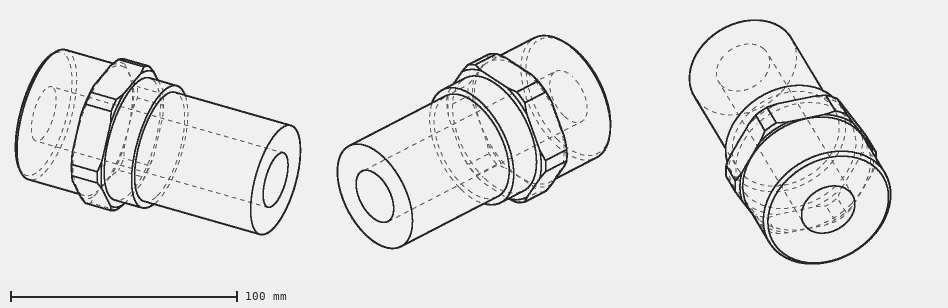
import cadquery as cq

total_length = 114.0
hex_start = 29.0
hex_end = 43.5
shoulder_end = 57.0

thread_diameter = 59.6
shoulder_diameter = 56.1
tube_diameter = 50.0
bore_diameter = 25.0
across_flats = 60.0
hex_corner_diameter = 66.0

thread_chamfer = 1.6
hex_chamfer_length = 1.0
hex_chamfer_depth = 1.8


def cylinder(diameter, start, end):
    """Solid cylinder around the X axis between two stations."""
    return cq.Workplane("YZ", origin=(start, 0, 0)).circle(diameter / 2).extrude(end - start)


def hex_collar():
    """Hexagon with flats facing +Z and -Z, cut from a chamfered round blank."""
    corner_radius = hex_corner_diameter / 2
    face_radius = corner_radius - hex_chamfer_depth
    collar = (
        cq.Workplane("XY")
        .moveTo(hex_start, 0)
        .lineTo(hex_start, face_radius)
        .lineTo(hex_start + hex_chamfer_length, corner_radius)
        .lineTo(hex_end - hex_chamfer_length, corner_radius)
        .lineTo(hex_end, face_radius)
        .lineTo(hex_end, 0)
        .close()
        .revolve(360, (0, 0, 0), (1, 0, 0))
    )
    for angle in (0, 60, 120):
        flat_pair = (
            cq.Workplane("XY")
            .box(hex_end - hex_start, 2 * across_flats, across_flats)
            .translate(((hex_start + hex_end) / 2, 0, 0))
            .rotate((0, 0, 0), (1, 0, 0), angle)
        )
        collar = collar.intersect(flat_pair)
    return collar


thread_end = cylinder(thread_diameter, 0, hex_start).faces("<X").chamfer(thread_chamfer)
shoulder = cylinder(shoulder_diameter, hex_end, shoulder_end)
tube = cylinder(tube_diameter, shoulder_end, total_length)
bore = cylinder(bore_diameter, 0, total_length)

result = thread_end.union(hex_collar()).union(shoulder).union(tube).cut(bore)